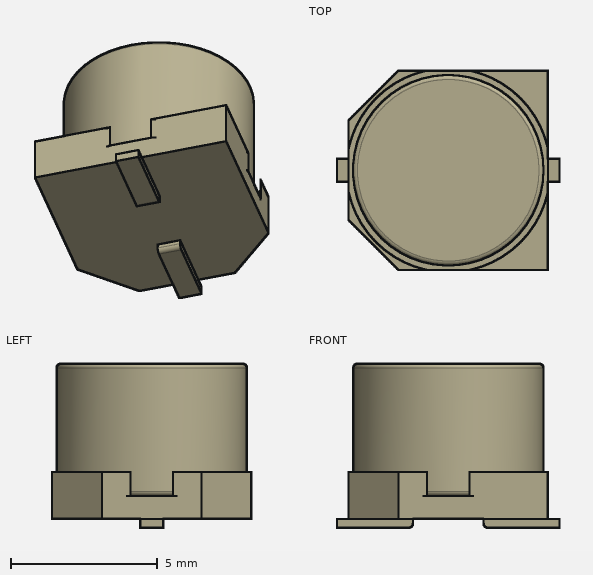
import cadquery as cq

total_length = 7.6
total_height = 5.6

lead_length = 2.6
lead_width = 0.8
lead_thickness = 0.305
lead_corner_radius = 0.15

base_side = 6.8
base_height = 1.6
base_bottom_z = lead_thickness
base_corner_cut = 1.7

recess_opening_width = 1.45
recess_radius = ((base_side / 2) ** 2 + (recess_opening_width / 2) ** 2) ** 0.5
recess_depth = 0.81
recess_floor_z = base_bottom_z + base_height - recess_depth

can_diameter = 6.5
can_edge_radius = 0.15
can_height = total_height - recess_floor_z


def make_base():
    """Square block with both -X corners cut off and a round recess in its top."""
    block = (
        cq.Workplane("XY")
        .workplane(offset=base_bottom_z)
        .rect(base_side, base_side)
        .extrude(base_height)
        .edges("|Z and <X")
        .chamfer(base_corner_cut)
    )
    recess = (
        cq.Workplane("XY")
        .workplane(offset=recess_floor_z)
        .circle(recess_radius)
        .extrude(recess_depth)
    )
    return block.cut(recess)


def make_can():
    """Cylinder with rounded rims, standing on the recess floor."""
    return (
        cq.Workplane("XY")
        .workplane(offset=recess_floor_z)
        .circle(can_diameter / 2)
        .extrude(can_height)
        .faces("|Z")
        .edges()
        .fillet(can_edge_radius)
    )


def make_lead(side):
    """Flat lead under the base; side is -1 for the -X end and 1 for the +X end."""
    inner_edge = ">X" if side < 0 else "<X"
    return (
        cq.Workplane("XY")
        .center(side * (total_length - lead_length) / 2, 0)
        .rect(lead_length, lead_width)
        .extrude(lead_thickness)
        .faces(inner_edge)
        .edges("<Z")
        .fillet(lead_corner_radius)
    )


base = make_base()
can = make_can()
leads = [make_lead(side).val() for side in (-1, 1)]

result = cq.Compound.makeCompound([base.val(), can.val(), *leads])